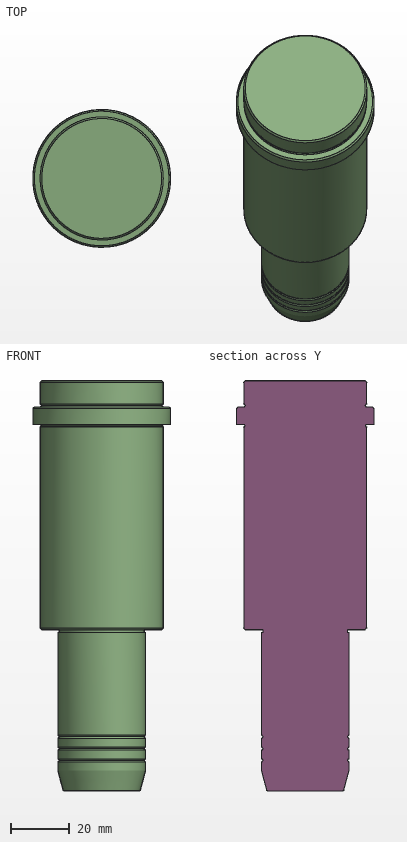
import cadquery as cq
import math

total_height = 140.0
edge_break = 0.5

body_radius = 21.0
body_bottom = 55.0
flange_radius = 23.5
flange_bottom = 125.0
flange_top = 131.0
head_groove_width = 1.0
body_groove_width = 0.8

pin_radius = 15.0
tip_edge_break = 0.3
taper_height = 7.0
taper_angle = math.radians(15)
tip_radius = pin_radius - taper_height * math.tan(taper_angle)
neck_width = 0.8
neck_depth = 0.4

ring_groove_count = 3
first_ring_groove = 10.5
ring_groove_pitch = 4.0
ring_groove_width = 1.1


def cylinder(radius, bottom, top):
    """Cylinder on the Z axis between two heights."""
    return cq.Workplane("XY").workplane(offset=bottom).circle(radius).extrude(top - bottom)


def square_ring(radius, depth, bottom, width):
    """Ring that cuts a square groove of the given depth into a shaft."""
    outer = cylinder(radius + depth, bottom, bottom + width)
    return outer.cut(cylinder(radius - depth, bottom, bottom + width))


def vee_ring(radius, bottom, width):
    """Ring that cuts a 90 degree V groove into a shaft, as deep as half its width."""
    depth = width / 2
    return (
        cq.Workplane("XZ")
        .moveTo(radius, bottom)
        .lineTo(radius - depth, bottom + depth)
        .lineTo(radius, bottom + width)
        .close()
        .revolve(360, (0, 0, 0), (0, 1, 0))
    )


tip = (
    cq.Workplane("XZ")
    .moveTo(0, 0)
    .lineTo(tip_radius, 0)
    .lineTo(pin_radius, taper_height)
    .lineTo(0, taper_height)
    .close()
    .revolve(360, (0, 0, 0), (0, 1, 0))
    .faces("<Z")
    .chamfer(tip_edge_break)
)

pin = cylinder(pin_radius, taper_height, body_bottom)
for index in range(ring_groove_count):
    center = first_ring_groove + index * ring_groove_pitch
    bottom = center - ring_groove_width / 2
    pin = pin.cut(vee_ring(pin_radius, bottom, ring_groove_width))
pin = pin.cut(square_ring(pin_radius, neck_depth, body_bottom - neck_width, neck_width))

body = cylinder(body_radius, body_bottom, total_height).faces("<Z or >Z").chamfer(edge_break)
body = body.cut(vee_ring(body_radius, flange_top, head_groove_width))
body = body.cut(vee_ring(body_radius, flange_bottom - body_groove_width, body_groove_width))

flange = cylinder(flange_radius, flange_bottom, flange_top).faces(">Z").chamfer(edge_break)

result = tip.union(pin).union(body).union(flange)